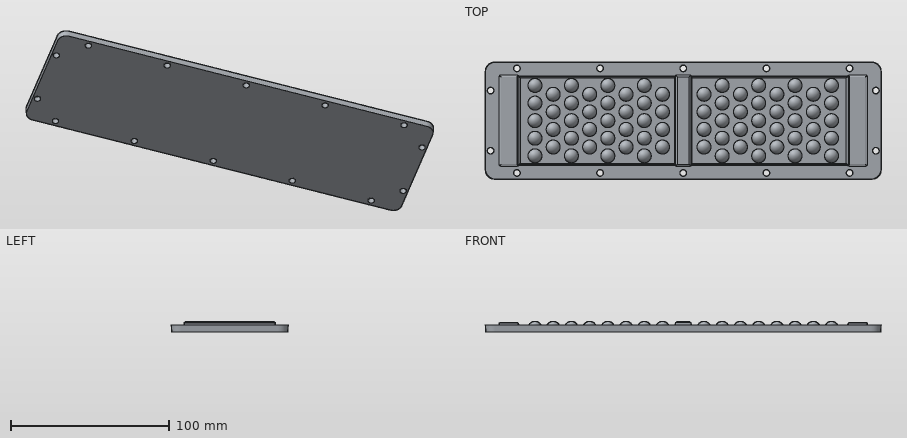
import cadquery as cq

plate_length = 250.0
plate_width = 74.0
plate_thickness = 4.6
plate_corner_radius = 6.0
plate_draft_angle = 4.0

hole_diameter = 4.0
long_side_hole_pitch = 52.5
long_side_hole_y = 33.0
short_side_hole_x = 121.6
short_side_hole_y = 19.0

floor_thickness = 2.4
floor_inner_x = 5.6
floor_outer_x = 102.8
floor_half_width = 26.9
rim_half_width = 28.3
rim_bevel_run = 0.5
rim_bevel_drop = 0.25

bar_half_length = 28.8
bar_corner_radius = 1.2
bar_bevel_run = 1.25
centre_bar_top = 6.81
centre_bar_shoulder_x = 4.9
centre_bar_bevel_drop = 0.9
end_bar_top = 6.15
end_bar_inner_shoulder_x = 104.3
end_bar_outer_x = 116.2
end_bar_inner_bevel_run = 0.7
end_bar_bevel_drop = 0.4

centre_bar_shoulder_z = centre_bar_top - centre_bar_bevel_drop
end_bar_shoulder_z = end_bar_top - end_bar_bevel_drop

lens_radius = centre_bar_top - floor_thickness
lens_first_x = 13.1
lens_column_pitch = 11.5
lens_columns = 8
lens_row_pitch = 11.1
short_column_lenses = 4
long_column_lenses = 5


def wall_x_at_plate_top(foot_x, shoulder_x, shoulder_z):
    """X of a sloping pocket wall where it passes the level of the plate's top face."""
    rise_share = (plate_thickness - floor_thickness) / (shoulder_z - floor_thickness)
    return foot_x + rise_share * (shoulder_x - foot_x)


pocket_inner_x = wall_x_at_plate_top(floor_inner_x, centre_bar_shoulder_x, centre_bar_shoulder_z)
pocket_outer_x = wall_x_at_plate_top(floor_outer_x, end_bar_inner_shoulder_x, end_bar_shoulder_z)


def crossed_profiles(xz_points, yz_points):
    """Planar-sided block: an outline seen along Y crossed with an outline seen along X."""
    along_y = cq.Workplane("XZ").polyline(xz_points).close().extrude(plate_width / 2, both=True)
    along_x = cq.Workplane("YZ").polyline(yz_points).close().extrude(plate_length / 2, both=True)
    return along_y.intersect(along_x)


def mirrored(points):
    """Outline running up the positive side, closed by its mirror image coming back down."""
    return points + [(-across, height) for across, height in reversed(points)]


def make_plate():
    """Rounded plate, narrowing slightly from its top face to its underside."""
    return (
        cq.Workplane("XY", origin=(0, 0, plate_thickness))
        .sketch()
        .rect(plate_length, plate_width)
        .vertices()
        .fillet(plate_corner_radius)
        .finalize()
        .extrude(-plate_thickness, taper=plate_draft_angle)
    )


def make_screw_holes():
    """Cutters for the five holes along each long side and two at each end."""
    long_side_points = [
        (step * long_side_hole_pitch, side * long_side_hole_y)
        for step in (-2, -1, 0, 1, 2)
        for side in (-1, 1)
    ]
    short_side_points = [
        (end * short_side_hole_x, side * short_side_hole_y)
        for end in (-1, 1)
        for side in (-1, 1)
    ]
    return (
        cq.Workplane("XY")
        .pushPoints(long_side_points + short_side_points)
        .circle(hole_diameter / 2)
        .extrude(plate_thickness)
    )


def make_pocket():
    """Cutter for the +X pocket: sloping walls, bevelled along both long rims."""
    xz_points = [
        (floor_inner_x, floor_thickness),
        (floor_outer_x, floor_thickness),
        (pocket_outer_x, plate_thickness),
        (pocket_inner_x, plate_thickness),
    ]
    half_yz_points = [
        (floor_half_width, floor_thickness),
        (rim_half_width - rim_bevel_run, plate_thickness - rim_bevel_drop),
        (rim_half_width, plate_thickness),
    ]
    return crossed_profiles(xz_points, mirrored(half_yz_points))


def make_bar(xz_points, shoulder_z, top_z):
    """Bar of the given XZ outline, with bevelled ends and rounded upright corners."""
    half_yz_points = [
        (bar_half_length, plate_thickness),
        (bar_half_length, shoulder_z),
        (bar_half_length - bar_bevel_run, top_z),
    ]
    bar = crossed_profiles(xz_points, mirrored(half_yz_points))
    bounds = bar.val().BoundingBox()
    rounded_block = (
        cq.Workplane("XY", origin=(bounds.center.x, 0, plate_thickness))
        .rect(bounds.xlen, bounds.ylen)
        .extrude(bounds.zlen)
        .edges("|Z")
        .fillet(bar_corner_radius)
    )
    return bar.intersect(rounded_block)


def make_centre_bar():
    """Bar between the pockets; both sides carry on the slopes of the pocket walls."""
    half_xz_points = [
        (pocket_inner_x, plate_thickness),
        (centre_bar_shoulder_x, centre_bar_shoulder_z),
        (centre_bar_shoulder_x - bar_bevel_run, centre_bar_top),
    ]
    return make_bar(mirrored(half_xz_points), centre_bar_shoulder_z, centre_bar_top)


def make_end_bar():
    """Lower bar at the +X end; its inner side carries on the slope of the pocket wall."""
    xz_points = [
        (pocket_outer_x, plate_thickness),
        (end_bar_outer_x, plate_thickness),
        (end_bar_outer_x, end_bar_shoulder_z),
        (end_bar_outer_x - bar_bevel_run, end_bar_top),
        (end_bar_inner_shoulder_x + end_bar_inner_bevel_run, end_bar_top),
        (end_bar_inner_shoulder_x, end_bar_shoulder_z),
    ]
    return make_bar(xz_points, end_bar_shoulder_z, end_bar_top)


def make_lenses():
    """Lenses of the +X pocket: short and long columns alternate outwards."""
    points = []
    for column in range(lens_columns):
        count = short_column_lenses if column % 2 == 0 else long_column_lenses
        x = lens_first_x + column * lens_column_pitch
        for row in range(count):
            points.append((x, (row - (count - 1) / 2) * lens_row_pitch))
    dome = cq.Solid.makeSphere(lens_radius, angleDegrees1=0, angleDegrees2=90)
    return (
        cq.Workplane("XY", origin=(0, 0, floor_thickness))
        .pushPoints(points)
        .eachpoint(lambda place: dome.moved(place))
    )


def both_ends(feature):
    """The +X feature together with its mirror image at the -X end."""
    return feature.add(feature.mirror("YZ")).combine()


result = (
    make_plate()
    .cut(make_screw_holes())
    .cut(both_ends(make_pocket()))
    .union(make_centre_bar())
    .union(both_ends(make_end_bar()))
    .union(both_ends(make_lenses()))
)